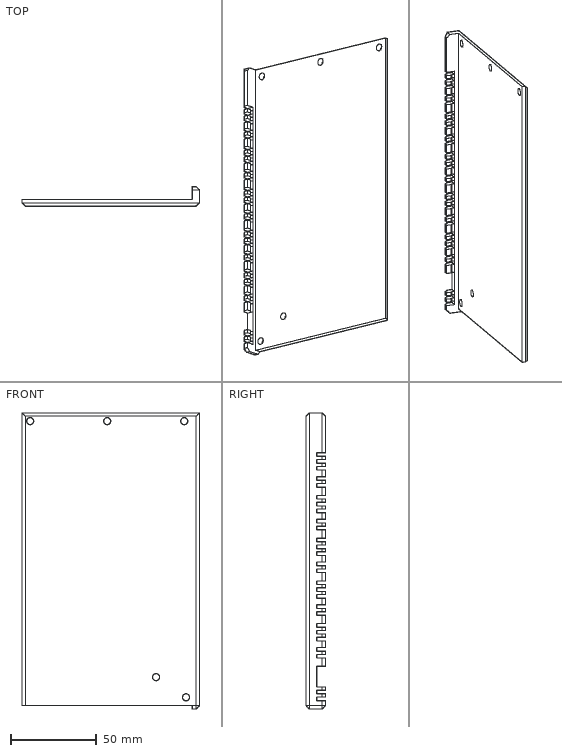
import cadquery as cq

width = 104.0
depth = 11.5
height = 173.4

plate_thickness = 4.0
wall_thickness = 4.3
chamfer = plate_thickness / 2
plate_bottom = chamfer
wall_inner_x = width - wall_thickness

hole_diameter = 4.0
top_hole_z = height - 4.9
top_hole_first_x = 4.9
top_hole_pitch = 45.0
top_hole_count = 3
top_holes = [(top_hole_first_x + i * top_hole_pitch, top_hole_z) for i in range(top_hole_count)]
lower_holes = [(78.5, 18.7), (96.0, 7.0)]

comb_top = 150.0
comb_length = 125.0
comb_repeats = 5
tooth_modules = [2, 2, 4, 2, 5]
gap_modules = 2
repeat_modules = sum(tooth_modules) + gap_modules * len(tooth_modules)
module = comb_length / (comb_repeats * repeat_modules)
gap = gap_modules * module
comb_bottom = comb_top - comb_length
tooth_depth = 5.0
tooth_root_y = depth - tooth_depth

foot_comb_bottom = 5.0
foot_tooth = 2 * module
foot_tooth_count = 2
foot_pitch = gap + foot_tooth
foot_comb_top = foot_comb_bottom + foot_tooth_count * foot_pitch

groove_width = 2.3
groove_depth = groove_width / 2


def make_plate():
    """Plate with its left and top front edges chamfered; the wall carries on the right edge."""
    blank = cq.Workplane("XY").box(
        wall_inner_x, plate_thickness, height - plate_bottom, centered=False
    )
    return blank.edges("(<X and <Y) or (>Z and <Y)").chamfer(chamfer).translate((0, 0, plate_bottom))


def make_wall():
    """Side wall chamfered along its front and back edges and all round the foot's outer edges."""
    wall = cq.Workplane("XY").box(wall_thickness, depth, height, centered=False)
    front_and_back = "((<Y or >Y) and (>X or <Z or >Z))"
    foot_side = "(>X and <Z)"
    wall = wall.edges(f"{front_and_back} or {foot_side}").chamfer(chamfer)
    return wall.translate((wall_inner_x, 0, 0))


def make_gap(bottom, top):
    """Block that cuts the wall down to the tooth roots between two heights."""
    gap_size = (wall_thickness, tooth_depth, top - bottom)
    block = cq.Workplane("XY").box(*gap_size, centered=False)
    return block.translate((wall_inner_x, tooth_root_y, bottom))


def make_groove(bottom, top):
    """V-shaped bar that grooves the inner side of the teeth between two heights."""
    groove_top_y = tooth_root_y + groove_width
    apex = (wall_inner_x + groove_depth, tooth_root_y + groove_width / 2)
    profile = [(wall_inner_x, tooth_root_y), apex, (wall_inner_x, groove_top_y)]
    return cq.Workplane("XY").workplane(offset=bottom).polyline(profile).close().extrude(top - bottom)


result = make_plate().union(make_wall())

hole_plane = cq.Workplane("XZ").pushPoints(top_holes + lower_holes)
result = result.cut(hole_plane.circle(hole_diameter / 2).extrude(-plate_thickness))

result = result.cut(make_groove(foot_comb_bottom, comb_top))

gap_top = comb_top
for tooth in tooth_modules * comb_repeats:
    result = result.cut(make_gap(gap_top - gap, gap_top))
    gap_top -= gap + tooth * module

result = result.cut(make_gap(foot_comb_top, comb_bottom))

for i in range(foot_tooth_count):
    gap_bottom = foot_comb_bottom + i * foot_pitch
    result = result.cut(make_gap(gap_bottom, gap_bottom + gap))